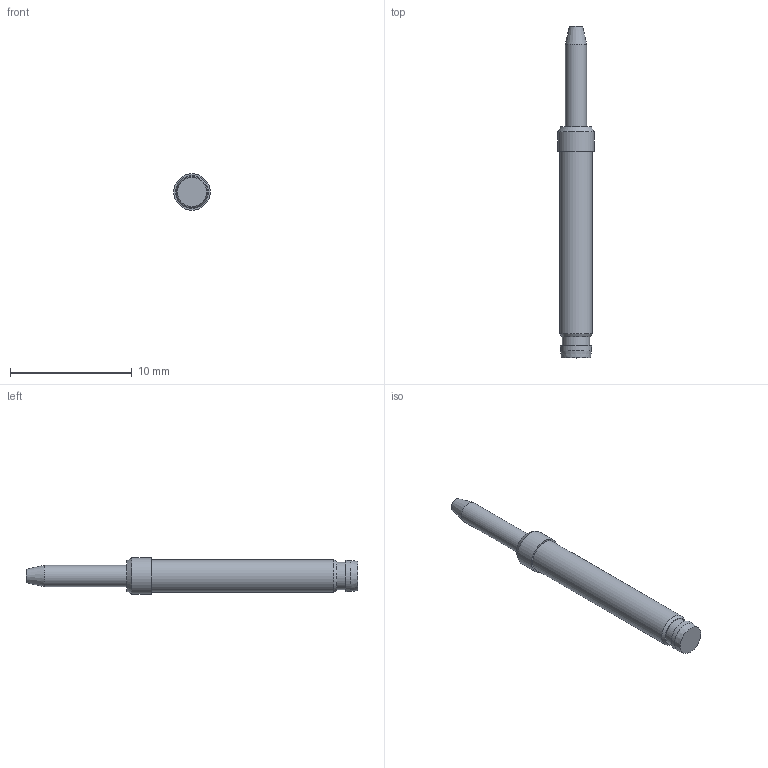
import cadquery as cq


total_length = 27.3
collar_diameter = 3.0
collar_length = 2.0
collar_chamfer_length = 0.4
collar_front_diameter = 2.5

plunger_length = 8.3
plunger_diameter = 1.75
tip_diameter = 1.1
tip_taper_length = 1.5

barrel_diameter = 2.7
barrel_chamfer_length = 0.25
barrel_end_diameter = 2.4
neck_diameter = 2.25
neck_length = 0.75
tail_diameter = 2.55
tail_length = 1.0
tail_end_diameter = 2.4
tail_taper_length = 0.6

tip_y = collar_length + plunger_length
tail_end_y = tip_y - total_length
tail_front_y = tail_end_y + tail_length
barrel_end_y = tail_front_y + neck_length


def cylinder(diameter, start_y, end_y):
    """Solid cylinder on the Y axis from start_y up to end_y."""
    return cq.Workplane("XZ", origin=(0, end_y, 0)).circle(diameter / 2).extrude(end_y - start_y)


def cone(start_diameter, end_diameter, start_y, end_y):
    """Solid truncated cone on the Y axis from start_y up to end_y."""
    frustum = cq.Solid.makeCone(
        start_diameter / 2,
        end_diameter / 2,
        end_y - start_y,
        pnt=cq.Vector(0, start_y, 0),
        dir=cq.Vector(0, 1, 0),
    )
    return cq.Workplane(obj=frustum)


def make_plunger():
    """Round plunger that narrows to a flat tip."""
    taper_start_y = tip_y - tip_taper_length
    shaft = cylinder(plunger_diameter, 0, taper_start_y)
    return shaft.union(cone(plunger_diameter, tip_diameter, taper_start_y, tip_y))


def make_collar():
    """Stop collar with a chamfered front edge."""
    chamfer_start_y = collar_length - collar_chamfer_length
    band = cylinder(collar_diameter, 0, chamfer_start_y)
    return band.union(cone(collar_diameter, collar_front_diameter, chamfer_start_y, collar_length))


def make_barrel():
    """Main barrel with a chamfered rear edge."""
    chamfer_front_y = barrel_end_y + barrel_chamfer_length
    tube = cylinder(barrel_diameter, chamfer_front_y, 0)
    return tube.union(cone(barrel_end_diameter, barrel_diameter, barrel_end_y, chamfer_front_y))


def make_tail():
    """Neck and tail head, the head narrowing slightly toward its end face."""
    taper_front_y = tail_end_y + tail_taper_length
    neck = cylinder(neck_diameter, tail_front_y, barrel_end_y)
    head = cylinder(tail_diameter, taper_front_y, tail_front_y)
    taper = cone(tail_end_diameter, tail_diameter, tail_end_y, taper_front_y)
    return neck.union(head).union(taper)


result = make_barrel().union(make_collar()).union(make_plunger()).union(make_tail())